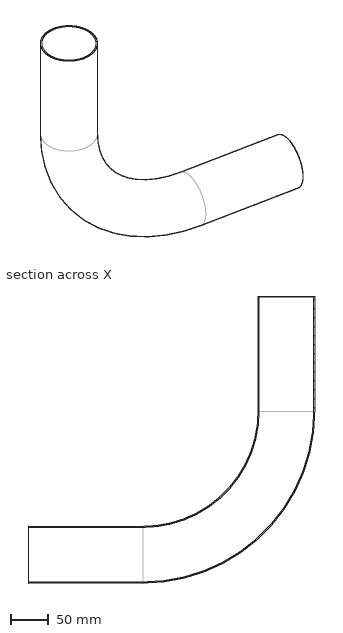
import cadquery as cq

outer_diameter = 76.2
inner_diameter = 72.0
overall_length = 381.0
leg_length = 152.5
bend_radius = overall_length - leg_length - outer_diameter / 2

leg_top = bend_radius + leg_length
centreline = (
    cq.Workplane("YZ")
    .moveTo(0, leg_top)
    .lineTo(0, bend_radius)
    .radiusArc((bend_radius, 0), -bend_radius)
    .lineTo(leg_top, 0)
)

result = (
    cq.Workplane("XY", origin=(0, 0, leg_top))
    .circle(outer_diameter / 2)
    .circle(inner_diameter / 2)
    .sweep(centreline)
)